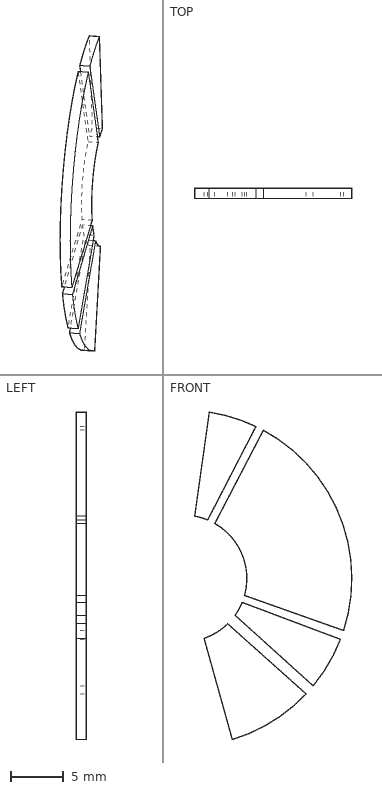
import cadquery as cq
import math

OUTER_RADIUS = 16.0
INNER_RADIUS = 6.0
THICKNESS = 1.0

UPPER_END_SIDE = (82.0, 0.22)
UPPER_GAP_ABOVE = (62.7, -0.5)
UPPER_GAP_BELOW = (62.5, 0.22)
MIDDLE_GAP_ABOVE = (-19.5, -0.4)
MIDDLE_GAP_BELOW = (-20.6, 0.15)
LOWER_GAP_ABOVE = (-42.1, -0.68)
LOWER_GAP_BELOW = (-41.8, 0.4)
LOWER_END_SIDE = (-74.4, -0.35)


def polar_angle(side, radius):
    """Angle at which a straight side meets a circle about the ring axis."""
    direction, offset = side
    return math.radians(direction) - math.asin(offset / radius)


def ring_point(radius, angle):
    return (radius * math.cos(angle), radius * math.sin(angle))


def arc_points(radius, first_side, second_side):
    """Start, middle and end of the arc between two sides."""
    start = polar_angle(first_side, radius)
    end = polar_angle(second_side, radius)
    return [ring_point(radius, angle) for angle in (start, (start + end) / 2, end)]


def ring_segment(upper_side, lower_side):
    """Flat plate between two straight sides and the two ring arcs."""
    outer_start, outer_middle, outer_end = arc_points(OUTER_RADIUS, upper_side, lower_side)
    inner_start, inner_middle, inner_end = arc_points(INNER_RADIUS, lower_side, upper_side)
    return (
        cq.Workplane("XZ")
        .moveTo(*outer_start)
        .threePointArc(outer_middle, outer_end)
        .lineTo(*inner_start)
        .threePointArc(inner_middle, inner_end)
        .close()
        .extrude(THICKNESS / 2, both=True)
    )


top_segment = ring_segment(UPPER_END_SIDE, UPPER_GAP_ABOVE)
main_segment = ring_segment(UPPER_GAP_BELOW, MIDDLE_GAP_ABOVE)
narrow_segment = ring_segment(MIDDLE_GAP_BELOW, LOWER_GAP_ABOVE)
bottom_segment = ring_segment(LOWER_GAP_BELOW, LOWER_END_SIDE)

result = cq.Compound.makeCompound([
    top_segment.val(),
    main_segment.val(),
    narrow_segment.val(),
    bottom_segment.val(),
])